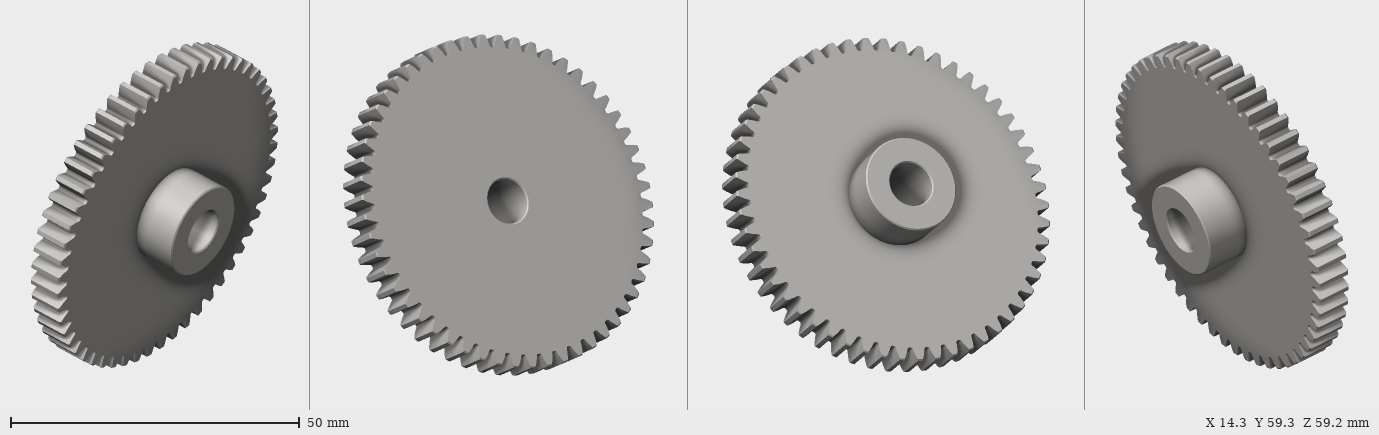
import cadquery as cq
import math

outside_diameter = 59.25
tooth_count = 54
pressure_angle = math.radians(20)
gear_width = 6.35
tooth_depth_modules = 2.25
root_fillet = 0.4
gear_edge_chamfer = 0.25
flank_points = 6

overall_length = 14.3
hub_diameter = 17.0
hub_chamfer = 0.25
bore_diameter = 7.95
bore_chamfer = 0.25

module = outside_diameter / (tooth_count + 2)
tip_radius = outside_diameter / 2
pitch_radius = module * tooth_count / 2
base_radius = pitch_radius * math.cos(pressure_angle)
root_radius = tip_radius - tooth_depth_modules * module
pitch_angle = 2 * math.pi / tooth_count


def polar(radius, angle):
    """Point at the given radius and angle, the angle measured from +Y toward +Z."""
    return (radius * math.cos(angle), radius * math.sin(angle))


def involute(angle):
    """Involute function of a pressure angle in radians."""
    return math.tan(angle) - angle


def tooth_half_angle(radius):
    """Half the angle a tooth spans at the given radius."""
    flank_angle = math.acos(base_radius / radius)
    return pitch_angle / 4 + involute(pressure_angle) - involute(flank_angle)


def tooth_outline():
    """Closed outline of all the teeth on the YZ plane, one tooth centred on +Y."""
    radius_step = (tip_radius - root_radius) / (flank_points - 1)
    flank_radii = [root_radius + i * radius_step for i in range(flank_points)]
    start_angle = -tooth_half_angle(root_radius)
    outline = cq.Workplane("YZ").moveTo(*polar(root_radius, start_angle))
    for tooth in range(tooth_count):
        centre = tooth * pitch_angle
        rising = [polar(r, centre - tooth_half_angle(r)) for r in flank_radii]
        falling = [polar(r, centre + tooth_half_angle(r)) for r in reversed(flank_radii)]
        next_flank = centre + pitch_angle + start_angle
        outline = (
            outline.spline(rising[1:], includeCurrent=True)
            .threePointArc(polar(tip_radius, centre), falling[0])
            .spline(falling[1:], includeCurrent=True)
            .threePointArc(
                polar(root_radius, centre + pitch_angle / 2),
                polar(root_radius, next_flank),
            )
        )
    return outline.close()


def is_root_corner(edge):
    """True for edges along X that lie on the root circle rather than at the tips."""
    centre = edge.Center()
    return math.hypot(centre.y, centre.z) < pitch_radius


def gear():
    """Toothed wheel with rounded roots and with tooth tips chamfered at both faces."""
    tip_envelope = (
        cq.Workplane("YZ").circle(tip_radius).extrude(gear_width).edges().chamfer(gear_edge_chamfer)
    )
    blank = tooth_outline().extrude(gear_width)
    root_corners = [edge for edge in blank.edges("|X").vals() if is_root_corner(edge)]
    rounded = blank.newObject(root_corners).fillet(root_fillet)
    return rounded.intersect(tip_envelope)


def hub():
    """Round hub on the +X side, chamfered at its free end."""
    return (
        cq.Workplane("YZ", origin=(gear_width, 0, 0))
        .circle(hub_diameter / 2)
        .extrude(overall_length - gear_width)
        .faces(">X")
        .chamfer(hub_chamfer)
    )


def bore():
    """Through bore, widened by a chamfer at both ends."""
    bore_radius = bore_diameter / 2
    mouth_radius = bore_radius + bore_chamfer
    half_section = [
        (0, 0),
        (0, mouth_radius),
        (bore_chamfer, bore_radius),
        (overall_length - bore_chamfer, bore_radius),
        (overall_length, mouth_radius),
        (overall_length, 0),
    ]
    return (
        cq.Workplane("XY")
        .polyline(half_section)
        .close()
        .revolve(360, (0, 0, 0), (1, 0, 0))
    )


result = gear().union(hub()).cut(bore())